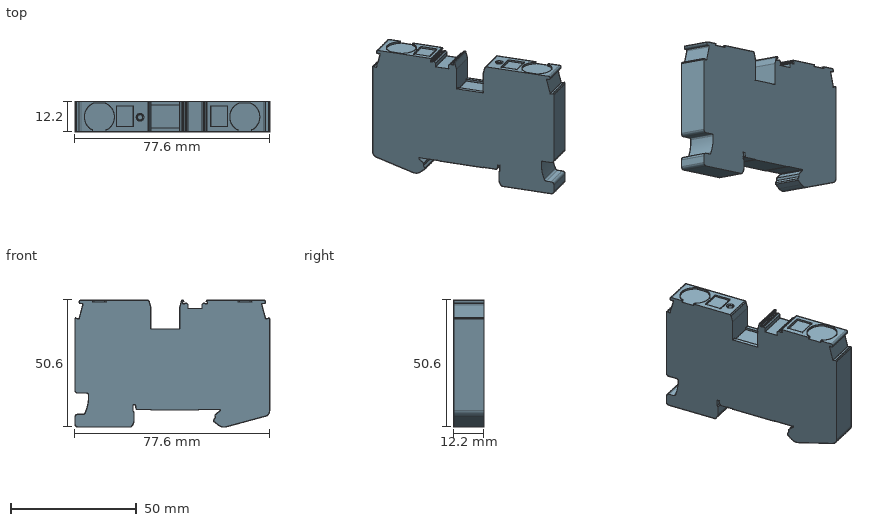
import cadquery as cq


LENGTH = 77.61
WIDTH = 12.2
HEIGHT = 50.6

LIP_INSET = 1.7
LIP_TOP_RADIUS = 0.7
LIP_BOTTOM = 49.2
LIP_BOTTOM_RADIUS = 0.55
NECK_TOP_INSET = 3.1
NECK_TOP = 48.7
NECK_FOOT_INSET = 1.62
NECK_FOOT = 43.17
SHOULDER_INSET = 0.6
SHOULDER_HEIGHT = 43.33
BEAD_INSET = 0.3
BEAD_TOP = 43.6
END_FACE_TOP = 43.05

SLOT_LEFT = 30.28
SLOT_RIGHT = 41.7
SLOT_FLOOR = 39.15
SLOT_TAPER_START = 47.65
SLOT_TAPER_WIDTH = 0.7
SLOT_MOUTH_CHAMFER = 0.45
SLOT_POCKET_MARGIN = 1.53
SLOT_POCKET_DEPTH = 0.8

CHANNEL_CENTER = 47.83
CHANNEL_FLOOR = 47.3
CHANNEL_WALL_TOP = 48.85
CHANNEL_HALF_WIDTH = 2.77
RIDGE_INNER_HALF_WIDTH = 3.35
RIDGE_OUTER_HALF_WIDTH = 3.75
RIDGE_TOP = 49.42
GROOVE_INNER_HALF_WIDTH = 4.3
GROOVE_HALF_WIDTH = 4.9
GROOVE_FLOOR = 49.17
GROOVE_TOP = 49.85
SNAP_LIP_HALF_WIDTH = 4.45
SNAP_LIP_HEIGHT = 50.1
CHANNEL_MOUTH_HALF_WIDTH = 4.7

OUTER_CORNER_RADIUS = 1.2
BODY_UNDERSIDE = 13.5
NOTCH_BACK_X = 5.4
NOTCH_BACK_MID = (5.05, 8.7)
NOTCH_TOP_RADIUS = 0.6
HOOK_TOP = 5.15
HOOK_TOP_END_X = 3.3
HOOK_FILLET_END = (4.15, 5.87)
HOOK_FILLET_RADIUS = 0.9
HOOK_TOE_X = 22.3
HOOK_TOE_MID = (23.1, 1.0)
HOOK_FACE_X = 23.6
HOOK_TOE_TOP = 2.35
HOOK_FACE_TOP = 5.95

GROOVE_BACK_X = 23.2
GROOVE_BACK_FOOT = 6.4
RAIL_GROOVE_TOP = 8.85
RAIL_GROOVE_TOP_X = 24.1
RAIL_GROOVE_SIDE = (24.3, 7.4)
RAIL_SEAT = 6.95
RAIL_SEAT_START_X = 24.6
RAIL_SEAT_END_X = 57.8
PAD_START_X = 30.3
PAD_END_X = 49.25
PAD_DEPTH = 0.15

LATCH_NECK_HEIGHT = 6.55
LATCH_TEETH = [(55.75, 4.85), (55.85, 3.8), (55.2, 2.85), (55.3, 2.25)]
LATCH_HEEL_START = (57.2, 0.75)
LATCH_HEEL_MID = (58.8, 0.05)
LATCH_HEEL_END = (60.3, 0.1)
LATCH_RAMP_END = (75.8, 4.3)
LATCH_CORNER_MID = (77.1, 5.1)
END_FACE_BOTTOM = 6.6

MIRROR_X = 38.72
DISC_X = 9.77
DISC_Y = 6.0
DISC_RADIUS = 5.98
DISC_Y_MIN = 1.0
DISC_Y_MAX = 11.6
DISC_DEPTH = 0.7
DISC_MOUTH_WIDTH = 5.4
WINDOW_X_MIN = 16.6
WINDOW_X_MAX = 23.43
WINDOW_Y_MIN = 2.2
WINDOW_Y_MAX = 10.25
WINDOW_DEPTH = 0.65
WINDOW_SLANT = 0.25

HOLE_X = 25.95
HOLE_Y = 5.83
HOLE_DIAMETER = 2.1
HOLE_DEPTH = 0.6
HOLE_RIM_DIAMETER = 3.05
HOLE_RIM_DEPTH = 0.3


def from_left(inset):
    return inset


def from_right(inset):
    return LENGTH - inset


def channel_left(half_width):
    return CHANNEL_CENTER - half_width


def channel_right(half_width):
    return CHANNEL_CENTER + half_width


def draw_lines(outline, points):
    for point in points:
        outline = outline.lineTo(*point)
    return outline


def shoulder_points(side):
    """End face top, bead, shoulder and neck, from the bottom up to the lip."""
    return [
        (side(0), END_FACE_TOP),
        (side(BEAD_INSET), BEAD_TOP),
        (side(SHOULDER_INSET), SHOULDER_HEIGHT),
        (side(NECK_FOOT_INSET), NECK_FOOT),
        (side(NECK_TOP_INSET), NECK_TOP),
        (side(NECK_TOP_INSET), LIP_BOTTOM),
    ]


def draw_left_flank(outline):
    outline = draw_lines(outline, shoulder_points(from_left))
    return (
        outline
        .lineTo(LIP_INSET + LIP_BOTTOM_RADIUS, LIP_BOTTOM)
        .radiusArc((LIP_INSET, LIP_BOTTOM + LIP_BOTTOM_RADIUS), LIP_BOTTOM_RADIUS)
        .lineTo(LIP_INSET, HEIGHT - LIP_TOP_RADIUS)
        .radiusArc((LIP_INSET + LIP_TOP_RADIUS, HEIGHT), LIP_TOP_RADIUS)
    )


def draw_right_flank(outline):
    lip_x = from_right(LIP_INSET)
    outline = (
        outline
        .lineTo(lip_x - LIP_TOP_RADIUS, HEIGHT)
        .radiusArc((lip_x, HEIGHT - LIP_TOP_RADIUS), LIP_TOP_RADIUS)
        .lineTo(lip_x, LIP_BOTTOM + LIP_BOTTOM_RADIUS)
        .radiusArc((lip_x - LIP_BOTTOM_RADIUS, LIP_BOTTOM), LIP_BOTTOM_RADIUS)
    )
    return draw_lines(outline, reversed(shoulder_points(from_right)))


def draw_slot(outline):
    mouth_left = SLOT_LEFT - SLOT_TAPER_WIDTH
    mouth_right = SLOT_RIGHT + SLOT_TAPER_WIDTH
    return draw_lines(outline, [
        (mouth_left - SLOT_MOUTH_CHAMFER, HEIGHT),
        (mouth_left, HEIGHT - SLOT_MOUTH_CHAMFER),
        (SLOT_LEFT, SLOT_TAPER_START),
        (SLOT_LEFT, SLOT_FLOOR),
        (SLOT_RIGHT, SLOT_FLOOR),
        (SLOT_RIGHT, SLOT_TAPER_START),
        (mouth_right, HEIGHT - SLOT_MOUTH_CHAMFER),
        (mouth_right + SLOT_MOUTH_CHAMFER / 2, HEIGHT),
    ])


def channel_points(side):
    """One half of the marker channel, from the top face down to the floor."""
    return [
        (side(CHANNEL_MOUTH_HALF_WIDTH), HEIGHT),
        (side(SNAP_LIP_HALF_WIDTH), SNAP_LIP_HEIGHT),
        (side(GROOVE_HALF_WIDTH), GROOVE_TOP),
        (side(GROOVE_HALF_WIDTH), GROOVE_FLOOR),
        (side(GROOVE_INNER_HALF_WIDTH), GROOVE_FLOOR),
        (side(RIDGE_OUTER_HALF_WIDTH), RIDGE_TOP),
        (side(RIDGE_INNER_HALF_WIDTH), RIDGE_TOP),
        (side(CHANNEL_HALF_WIDTH), CHANNEL_WALL_TOP),
        (side(CHANNEL_HALF_WIDTH), CHANNEL_FLOOR),
    ]


def draw_channel(outline):
    outline = draw_lines(outline, channel_points(channel_left))
    return draw_lines(outline, reversed(channel_points(channel_right)))


def draw_latch(outline):
    outline = (
        outline
        .lineTo(LENGTH, END_FACE_BOTTOM)
        .threePointArc(LATCH_CORNER_MID, LATCH_RAMP_END)
        .lineTo(*LATCH_HEEL_END)
        .threePointArc(LATCH_HEEL_MID, LATCH_HEEL_START)
    )
    outline = draw_lines(outline, reversed(LATCH_TEETH))
    return outline.lineTo(RAIL_SEAT_END_X, LATCH_NECK_HEIGHT)


def draw_rail_opening(outline):
    return draw_lines(outline, [
        (RAIL_SEAT_END_X, RAIL_SEAT),
        (PAD_END_X, RAIL_SEAT),
        (PAD_END_X, RAIL_SEAT - PAD_DEPTH),
        (PAD_START_X, RAIL_SEAT - PAD_DEPTH),
        (PAD_START_X, RAIL_SEAT),
        (RAIL_SEAT_START_X, RAIL_SEAT),
        RAIL_GROOVE_SIDE,
        (RAIL_GROOVE_TOP_X, RAIL_GROOVE_TOP),
        (GROOVE_BACK_X, RAIL_GROOVE_TOP),
        (GROOVE_BACK_X, GROOVE_BACK_FOOT),
        (HOOK_FACE_X, HOOK_FACE_TOP),
    ])


def draw_hook(outline):
    corner = OUTER_CORNER_RADIUS
    return (
        outline
        .lineTo(HOOK_FACE_X, HOOK_TOE_TOP)
        .threePointArc(HOOK_TOE_MID, (HOOK_TOE_X, 0))
        .lineTo(corner, 0)
        .radiusArc((0, corner), corner)
        .lineTo(0, HOOK_TOP - corner)
        .radiusArc((corner, HOOK_TOP), corner)
        .lineTo(HOOK_TOP_END_X, HOOK_TOP)
        .radiusArc(HOOK_FILLET_END, -HOOK_FILLET_RADIUS)
        .threePointArc(NOTCH_BACK_MID, (NOTCH_BACK_X, BODY_UNDERSIDE - NOTCH_TOP_RADIUS))
        .radiusArc((NOTCH_BACK_X - NOTCH_TOP_RADIUS, BODY_UNDERSIDE), -NOTCH_TOP_RADIUS)
        .lineTo(corner, BODY_UNDERSIDE)
        .radiusArc((0, BODY_UNDERSIDE + corner), corner)
    )


def body():
    """Clockwise outline, starting at the foot of the left end face."""
    outline = cq.Workplane("XZ").moveTo(0, BODY_UNDERSIDE + OUTER_CORNER_RADIUS)
    outline = draw_left_flank(outline)
    outline = draw_slot(outline)
    outline = draw_channel(outline)
    outline = draw_right_flank(outline)
    outline = draw_latch(outline)
    outline = draw_rail_opening(outline)
    outline = draw_hook(outline)
    return outline.close().extrude(-WIDTH)


def box(x_min, x_max, y_min, y_max, z_min, z_max):
    block = cq.Workplane("XY").box(x_max - x_min, y_max - y_min, z_max - z_min, centered=False)
    return block.translate((x_min, y_min, z_min))


def disc_pocket():
    """Round pocket with trimmed sides and a mouth open to the Y = 0 face."""
    floor = HEIGHT - DISC_DEPTH
    disc = (
        cq.Workplane("XY", origin=(DISC_X, DISC_Y, floor))
        .circle(DISC_RADIUS)
        .extrude(DISC_DEPTH)
    )
    band = box(0, LENGTH, DISC_Y_MIN, DISC_Y_MAX, floor, HEIGHT)
    mouth_left = DISC_X - DISC_MOUTH_WIDTH / 2
    mouth = box(mouth_left, mouth_left + DISC_MOUTH_WIDTH, 0, DISC_Y, floor, HEIGHT)
    return disc.intersect(band).union(mouth)


def window_pocket():
    """Rectangular pocket with one slanted end wall."""
    floor = HEIGHT - WINDOW_DEPTH
    return (
        cq.Workplane("XZ", origin=(0, WINDOW_Y_MIN, 0))
        .moveTo(WINDOW_X_MIN, HEIGHT)
        .lineTo(WINDOW_X_MAX, HEIGHT)
        .lineTo(WINDOW_X_MAX - WINDOW_SLANT, floor)
        .lineTo(WINDOW_X_MIN, floor)
        .close()
        .extrude(WINDOW_Y_MIN - WINDOW_Y_MAX)
    )


def test_hole():
    mouth = cq.Workplane("XY", origin=(HOLE_X, HOLE_Y, HEIGHT))
    rim = (
        mouth
        .circle(HOLE_RIM_DIAMETER / 2)
        .workplane(offset=-HOLE_RIM_DEPTH)
        .circle(HOLE_DIAMETER / 2)
        .loft()
    )
    bore = mouth.circle(HOLE_DIAMETER / 2).extrude(-HOLE_DEPTH)
    return bore.union(rim)


def slot_floor_pocket():
    return box(
        SLOT_LEFT, SLOT_RIGHT,
        SLOT_POCKET_MARGIN, WIDTH - SLOT_POCKET_MARGIN,
        SLOT_FLOOR - SLOT_POCKET_DEPTH, SLOT_FLOOR,
    )


result = body()
for pocket in (disc_pocket(), window_pocket()):
    result = result.cut(pocket)
    result = result.cut(pocket.mirror("YZ", (MIRROR_X, 0, 0)))
result = result.cut(test_hole())
result = result.cut(slot_floor_pocket())